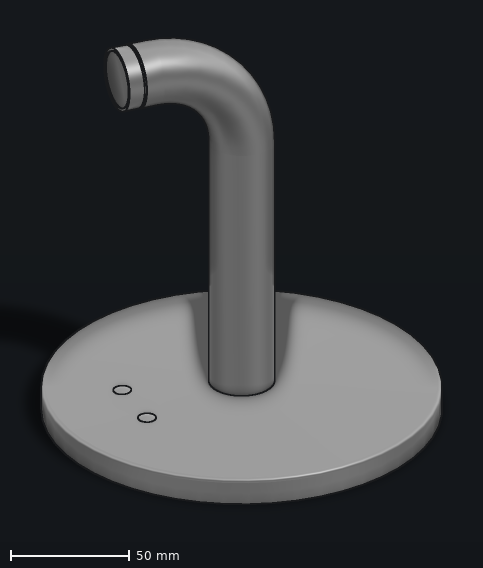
import cadquery as cq

base_diameter = 169.8
base_radius = base_diameter / 2
side_height = 10.2
rim_height = 12.0
rim_radius = 82.9
apex_height = 14.0

overall_height = 184.5
tube_diameter = 28.0
tube_radius = tube_diameter / 2
bend_radius = 41.3
spout_axis_height = overall_height - tube_radius
bend_start_height = spout_axis_height - bend_radius

groove_start = 49.5
groove_width = 1.0
groove_depth = 0.5
tip_start = groove_start + groove_width
tip_end = 57.4
tip_diameter = 27.7
face_diameter = 25.0
face_recess = 0.4

button_diameter = 8.0
button_spacing = 26.5
button_y = -49.1
button_edge_height = 12.7
button_top_height = 13.7


def make_base():
    """Revolve the disc, its rounded rim and its shallow conical top."""
    profile = (
        cq.Workplane("XZ")
        .lineTo(base_radius, 0)
        .lineTo(base_radius, side_height)
        .tangentArcPoint((rim_radius, rim_height), relative=False)
        .lineTo(0, apex_height)
        .close()
    )
    return profile.revolve(360, (0, 0), (0, 1))


def make_bent_tube():
    """Sweep the tube up from the base and round the bend to the groove."""
    path = (
        cq.Workplane("YZ")
        .lineTo(0, bend_start_height)
        .tangentArcPoint((-bend_radius, spout_axis_height), relative=False)
        .lineTo(-groove_start, spout_axis_height)
    )
    return cq.Workplane("XY").circle(tube_radius).sweep(path)


def spout_cylinder(start, end, diameter):
    """Cylinder on the spout axis between two distances from the upright."""
    plane = cq.Workplane("XZ", origin=(0, -start, spout_axis_height))
    return plane.circle(diameter / 2).extrude(end - start)


def make_spout_end():
    """Groove floor and tip, with a shallow recess in the tip's face."""
    groove_diameter = tube_diameter - 2 * groove_depth
    groove_floor = spout_cylinder(groove_start, tip_start, groove_diameter)
    tip = spout_cylinder(tip_start, tip_end, tip_diameter)
    recess = spout_cylinder(tip_end - face_recess, tip_end, face_diameter)
    return groove_floor.union(tip).cut(recess)


def make_button(x):
    """Button rising from inside the base and ending in a low dome."""
    button_radius = button_diameter / 2
    dome_rise = button_top_height - button_edge_height
    dome_radius = (button_radius**2 + dome_rise**2) / (2 * dome_rise)
    profile = (
        cq.Workplane("XZ", origin=(x, button_y, 0))
        .moveTo(0, side_height)
        .lineTo(button_radius, side_height)
        .lineTo(button_radius, button_edge_height)
        .radiusArc((0, button_top_height), -dome_radius)
        .close()
    )
    return profile.revolve(360, (0, 0), (0, 1))


result = make_base().union(make_bent_tube()).union(make_spout_end())
for side in (-1, 1):
    result = result.union(make_button(side * button_spacing / 2))